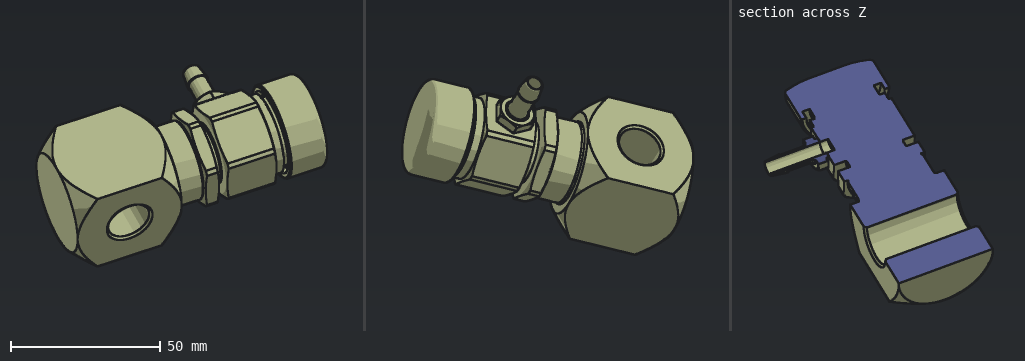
import cadquery as cq
import math

hexagon_turn = 30
quarter_arc_middle = math.sqrt(0.5)


block_width = 35.0
block_length = 38.0
block_face_radius = block_width / 2
block_corner_radius = block_width / math.sqrt(2)
block_chamfer_depth = block_corner_radius - block_face_radius
bore_diameter = 14.95
bore_mouth_diameter = 16.66

block_front = -block_length / 2
block_back = block_length / 2
nut_start = 28.7
nut_end = 33.85
hex_start = 36.6
hex_end = 54.8
collar_end = 57.85
cap_start = 59.1
cap_shoulder = 71.2
cap_rim = 73.1
cap_top = 74.4

collar_radius = 14.0
nut_groove_radius = 13.6
nut_groove_width = 0.4
neck_radius = 10.5
cap_neck_radius = 12.0
core_radius = cap_neck_radius
cap_radius = 16.5
cap_rim_radius = 15.0
cap_flat_radius = 6.5
cap_bottom_chamfer = 0.5
cap_recess_radius = 14.5
cap_recess_depth = 3.0
neck_flare_length = 0.5
neck_flare_radial = 0.2
foot_flare_length = 0.8
foot_flare_radial = 0.3

hex_across_flats = 30.0
hex_corner_radius = 16.8
hex_end_radius = 14.5
hex_chamfer_depth = 0.6

barb_y = 45.2
barb_seat = -hex_across_flats / 2
barb_hex_inner = -15.9
barb_hex_outer = -19.6
barb_flare_end = -19.85
barb_flare_start = -22.1
barb_ridge_inner = -29.5
barb_ridge_outer = -30.0
barb_nose = -34.6
barb_tip = -35.5
barb_seat_radius = 4.6
barb_hex_across_flats = 12.0
barb_hex_chamfer = 0.5
barb_stem_radius = 3.4
barb_flare_radius = 3.7
barb_foot_radius = 4.2
barb_ridge_radius = 3.75
barb_nose_radius = 3.1
barb_tip_radius = 2.6
barb_bore_radius = 2.5


def revolve_about_y(profile):
    return profile.close().revolve(360, (0, 0, 0), (0, 1, 0))


def hexagon_along_y(start, end):
    """Hexagon with flats facing X, its corners turned down and both ends chamfered."""
    prism = (
        cq.Workplane("XZ", origin=(0, start, 0))
        .polygon(6, hex_across_flats / math.cos(math.pi / 6))
        .extrude(start - end)
        .rotate((0, 0, 0), (0, 1, 0), hexagon_turn)
    )
    envelope = revolve_about_y(
        cq.Workplane("XY")
        .moveTo(0, start)
        .lineTo(hex_end_radius, start)
        .lineTo(hex_corner_radius, start + hex_chamfer_depth)
        .lineTo(hex_corner_radius, end - hex_chamfer_depth)
        .lineTo(hex_end_radius, end)
        .lineTo(0, end)
    )
    return prism.intersect(envelope)


def make_block():
    """Square block with conically turned ends and a cross bore."""
    box = cq.Workplane("XY").box(block_width, block_length, block_width)
    envelope = revolve_about_y(
        cq.Workplane("XY")
        .moveTo(0, block_front)
        .lineTo(block_face_radius, block_front)
        .lineTo(block_corner_radius, block_front + block_chamfer_depth)
        .lineTo(block_corner_radius, block_back - block_chamfer_depth)
        .lineTo(block_face_radius, block_back)
        .lineTo(0, block_back)
    )
    mouth = block_width / 2
    mouth_radius = bore_mouth_diameter / 2
    bore_radius = bore_diameter / 2
    mouth_depth = mouth_radius - bore_radius
    bore = (
        cq.Workplane("XY")
        .moveTo(-mouth, 0)
        .lineTo(-mouth, mouth_radius)
        .lineTo(-mouth + mouth_depth, bore_radius)
        .lineTo(mouth - mouth_depth, bore_radius)
        .lineTo(mouth, mouth_radius)
        .lineTo(mouth, 0)
        .close()
        .revolve(360, (0, 0, 0), (1, 0, 0))
    )
    return box.intersect(envelope).cut(bore)


def make_turned_stem():
    """Turned core from the block to the domed cap."""
    fillet_rise = cap_rim - cap_shoulder
    rim_span = cap_radius - cap_rim_radius
    rim_middle = (
        cap_rim_radius + rim_span * quarter_arc_middle,
        cap_shoulder + fillet_rise * quarter_arc_middle,
    )
    dome_rise = cap_top - cap_rim
    dome_span = cap_rim_radius - cap_flat_radius
    dome_radius = (dome_span**2 + dome_rise**2) / (2 * dome_rise)
    dome_half_angle = math.asin(dome_span / dome_radius) / 2
    dome_middle = (
        cap_flat_radius + dome_radius * math.sin(dome_half_angle),
        cap_top - dome_radius * (1 - math.cos(dome_half_angle)),
    )
    return revolve_about_y(
        cq.Workplane("XY")
        .moveTo(0, block_back)
        .lineTo(collar_radius + foot_flare_radial, block_back)
        .lineTo(collar_radius, block_back + foot_flare_length)
        .lineTo(collar_radius, nut_start - nut_groove_width)
        .lineTo(nut_groove_radius, nut_start - nut_groove_width)
        .lineTo(nut_groove_radius, nut_end)
        .lineTo(neck_radius, nut_end)
        .lineTo(neck_radius, hex_start - neck_flare_length)
        .lineTo(neck_radius + neck_flare_radial, hex_start)
        .lineTo(collar_radius, hex_start)
        .lineTo(collar_radius, collar_end)
        .lineTo(cap_neck_radius + neck_flare_radial, collar_end)
        .lineTo(cap_neck_radius, collar_end + neck_flare_length)
        .lineTo(cap_neck_radius, cap_start + cap_recess_depth)
        .lineTo(cap_recess_radius, cap_start + cap_recess_depth)
        .lineTo(cap_recess_radius, cap_start)
        .lineTo(cap_radius - cap_bottom_chamfer, cap_start)
        .lineTo(cap_radius, cap_start + cap_bottom_chamfer)
        .lineTo(cap_radius, cap_shoulder)
        .threePointArc(rim_middle, (cap_rim_radius, cap_rim))
        .threePointArc(dome_middle, (cap_flat_radius, cap_top))
        .lineTo(0, cap_top)
    )


def make_port():
    """Side port continuing the barb bore down to the round core of the valve."""
    port = cq.Workplane("YZ", origin=(barb_seat, barb_y, 0)).circle(barb_bore_radius).extrude(-barb_seat)
    core = cq.Workplane("XZ", origin=(0, hex_start, 0)).circle(core_radius).extrude(hex_start - hex_end)
    return port.cut(core)


def make_valve():
    nut = hexagon_along_y(nut_start, nut_end)
    body_hexagon = hexagon_along_y(hex_start, hex_end)
    return make_block().union(make_turned_stem()).union(nut).union(body_hexagon).cut(make_port())


def make_barb():
    """Hose barb seated on the flat of the valve body."""
    flare_length = barb_flare_end - barb_flare_start
    flare_rise = barb_flare_radius - barb_stem_radius
    flare_arc_radius = (flare_length**2 + flare_rise**2) / (2 * flare_rise)
    flare_half_angle = math.asin(flare_length / flare_arc_radius) / 2
    flare_middle = (
        barb_flare_start + flare_arc_radius * math.sin(flare_half_angle),
        barb_stem_radius + flare_arc_radius * (1 - math.cos(flare_half_angle)),
    )
    nose_middle = (
        barb_nose + (barb_tip - barb_nose) * quarter_arc_middle,
        barb_tip_radius + (barb_nose_radius - barb_tip_radius) * quarter_arc_middle,
    )
    turned = (
        cq.Workplane("XY")
        .moveTo(barb_seat, 0)
        .lineTo(barb_seat, barb_seat_radius)
        .lineTo(barb_hex_inner, barb_seat_radius)
        .lineTo(barb_hex_outer, barb_foot_radius)
        .lineTo(barb_flare_end, barb_flare_radius)
        .threePointArc(flare_middle, (barb_flare_start, barb_stem_radius))
        .lineTo(barb_ridge_inner, barb_stem_radius)
        .lineTo(barb_ridge_inner, barb_ridge_radius)
        .lineTo(barb_ridge_outer, barb_ridge_radius)
        .lineTo(barb_nose, barb_nose_radius)
        .threePointArc(nose_middle, (barb_tip, barb_tip_radius))
        .lineTo(barb_tip, 0)
        .close()
        .revolve(360, (0, 0, 0), (1, 0, 0))
    )
    corner_radius = barb_hex_across_flats / math.sqrt(3)
    flat_radius = barb_hex_across_flats / 2
    hexagon = (
        cq.Workplane("YZ", origin=(barb_hex_outer, 0, 0))
        .polygon(6, 2 * corner_radius)
        .extrude(barb_hex_inner - barb_hex_outer)
        .rotate((0, 0, 0), (1, 0, 0), hexagon_turn)
    )
    envelope = (
        cq.Workplane("XY")
        .moveTo(barb_hex_outer, 0)
        .lineTo(barb_hex_outer, flat_radius)
        .lineTo(barb_hex_outer + barb_hex_chamfer, corner_radius)
        .lineTo(barb_hex_inner, corner_radius)
        .lineTo(barb_hex_inner, 0)
        .close()
        .revolve(360, (0, 0, 0), (1, 0, 0))
    )
    barb_length = barb_seat - barb_tip
    bore = cq.Workplane("YZ", origin=(barb_tip, 0, 0)).circle(barb_bore_radius).extrude(barb_length)
    return turned.union(hexagon.intersect(envelope)).cut(bore).translate((0, barb_y, 0))


valve = make_valve()
barb = make_barb()

result = cq.Compound.makeCompound([valve.val(), barb.val()])